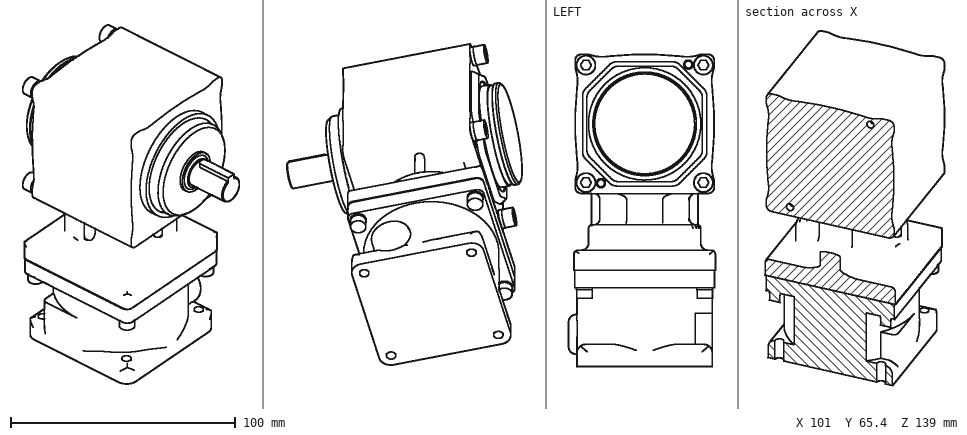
import cadquery as cq
import math


SHAFT_Z = 108.0
HOUSING_LEFT = -25.3
HOUSING_RIGHT = 32.8
HOUSING_HALF = 31.0
CORNER_START = 28.2
CORNER_PAD_EDGE = 25.2
HOLLOW_OUTER = 23.6
HOLLOW_INNER = 15.8
HOLLOW_OUTER_DROP = 0.4
HOLLOW_DROP = 1.1
HOLLOW_INNER_DROP = 0.8
HOUSING_BOTTOM = SHAFT_Z - HOUSING_HALF

BOSS_HALF = 27.7
BOSS_FLAT_HALF = 14.3
BOSS_HEIGHT = 2.9
BOSS_INSET = 2.0
BOSS_CORNER_RADIUS = 5.5

RECESS_RADIUS = 25.0
RECESS_DEPTH = 0.5
CAP_BAND_RADIUS = 23.0
CAP_BAND_END = -31.4
CAP_NECK_RADIUS = 22.4
CAP_LIP_START = -33.6
CAP_LIP_RADIUS = 23.1
CAP_END = -36.1
CAP_CHAMFER = 0.8

SCREW_OFFSET = 26.1
SCREW_DIAMETER = 8.3
SCREW_COLLAR_DIAMETER = 8.5
SCREW_COLLAR_HEIGHT = 1.5
SCREW_HEIGHT = 6.3
SOCKET_FLATS = 4.2
SOCKET_DEPTH = 2.2
DRILL_Y = 19.5
DRILL_Z = 26.4
DRILL_DIAMETER = 3.2
DRILL_RIM_DIAMETER = 4.0
DRILL_DEPTH = 4.2
DRILL_TIP = 1.0

FLANGE_RADIUS = 25.0
FLANGE_END = 36.4
SPIGOT_ROOT_RADIUS = 23.0
SPIGOT_RADIUS = 22.4
SPIGOT_CONE_END = 38.4
SPIGOT_END = 43.1
SPIGOT_ROUND_LENGTH = 2.0
SPIGOT_ROUND_DEPTH = 1.3
SEAL_DIAMETER = 19.0
SEAL_END = 44.3
SHOULDER_ROOT_RADIUS = 8.2
SHOULDER_RADIUS = 7.0
SHOULDER_END = 45.3
SHAFT_RADIUS = 6.0
SHAFT_END = 64.9
SHAFT_CHAMFER = 0.4
KEY_START = 47.0
KEY_WIDTH = 4.0
KEY_TOP = 7.6

NECK_RADIUS = 20.0
NECK_FILLET = 2.8
NECK_FLAT_X = -18.3
RIB_WIDTH = 4.2
RIB_REACH = 23.8

COLLAR_RADIUS = 25.0
COLLAR_TOP = 63.1
COLLAR_EDGE_RADIUS = 1.7
COLLAR_FILLET = 3.0
PLATE_TOP = 51.8
PLATE_EDGE_RADIUS = 2.1
UPPER_PLATE_HALF_Y = 31.5
PLATE_CORNER_RADIUS = 3.0

JOINT_Z = 42.8
PLATE_BOTTOM = 35.0
PLATE_HALF = 31.1
BARREL_RADIUS = 30.2
BASE_HEIGHT = 10.0
BASE_EDGE_RADIUS = 4.2
BASE_CORNER_RADIUS = 5.4
BASE_HOLE_OFFSET = 24.6
BASE_HOLE_DIAMETER = 4.2
ADAPTER_SCREW_OFFSET = 26.8
ADAPTER_SCREW_DIAMETER = 7.0
ADAPTER_SCREW_HEIGHT = 4.7
ADAPTER_COLLAR_DIAMETER = 7.1
ADAPTER_COLLAR_HEIGHT = 0.8
PAD_LEFT = -20.0
PAD_HEIGHT = 23.8
PAD_EDGE_RADIUS = 2.2
PLUG_X = 10.8
PLUG_Z = 14.3
PLUG_RADIUS = 8.9
PLUG_END_Y = 33.9
PLUG_EDGE_RADIUS = 3.5

CORNERS = [(1, 1), (-1, 1), (-1, -1), (1, -1)]


def turned_about_shaft(points):
    """Revolve (x, radius) points, closed along the axis, about the output shaft axis."""
    outline = [(points[0][0], 0), *points]
    if points[-1][1] > 0:
        outline.append((points[-1][0], 0))
    solid = cq.Workplane("XZ").polyline(outline).close().revolve(360, (0, 0, 0), (1, 0, 0))
    return solid.translate((0, 0, SHAFT_Z))


def rounded_plate(half_x, half_y, bottom, top, corner_radius, edge_radius=0):
    """Plate with round vertical corners; its round top edges meet in mitres."""
    size = (2 * half_x, 2 * half_y, top - bottom)
    plate = cq.Workplane("XY").box(*size, centered=(True, True, False))
    if edge_radius:
        plate = plate.faces(">Z").edges().fillet(edge_radius)
    corners = cq.Workplane("XY").box(*size, centered=(True, True, False)).edges("|Z").fillet(corner_radius)
    return plate.intersect(corners).translate((0, 0, bottom))


def housing_block():
    """Prism along X: the bottom side is flat, the others have a crowned middle between two flutes."""
    half = HOUSING_HALF
    hollow_middle = (HOLLOW_INNER + HOLLOW_OUTER) / 2
    corner_radius = half - CORNER_START
    corner_mid = CORNER_START + corner_radius * math.sqrt(0.5)
    hollow_outer_height = half - HOLLOW_OUTER_DROP
    hollow_height = half - HOLLOW_DROP
    hollow_inner_height = half - HOLLOW_INNER_DROP
    bottom_turn = 2

    outline = cq.Workplane("YZ").moveTo(-CORNER_START, half)
    for turn in range(4):
        def at(y, z):
            """The point of the top side, moved to the side that lies `turn` quarter turns clockwise."""
            return [(y, z), (z, -y), (-y, -z), (-z, y)][turn]

        if turn != bottom_turn:
            outline = (
                outline.lineTo(*at(-CORNER_PAD_EDGE, half))
                .lineTo(*at(-HOLLOW_OUTER, hollow_outer_height))
                .threePointArc(at(-hollow_middle, hollow_height), at(-HOLLOW_INNER, hollow_inner_height))
                .threePointArc(at(0, half), at(HOLLOW_INNER, hollow_inner_height))
                .threePointArc(at(hollow_middle, hollow_height), at(HOLLOW_OUTER, hollow_outer_height))
                .lineTo(*at(CORNER_PAD_EDGE, half))
            )
        outline = outline.lineTo(*at(CORNER_START, half))
        outline = outline.threePointArc(at(corner_mid, corner_mid), at(half, CORNER_START))
    block = outline.close().extrude(HOUSING_RIGHT - HOUSING_LEFT)
    return block.translate((HOUSING_LEFT, 0, SHAFT_Z))


def closed_end_plane():
    return cq.Plane(origin=(HOUSING_LEFT, 0, SHAFT_Z), xDir=(0, 1, 0), normal=(-1, 0, 0))


def octagonal_boss():
    octagon = []
    for sign_y, sign_z in CORNERS:
        pair = [(sign_y * BOSS_HALF, sign_z * BOSS_FLAT_HALF), (sign_y * BOSS_FLAT_HALF, sign_z * BOSS_HALF)]
        octagon += pair if sign_y * sign_z > 0 else pair[::-1]
    lean = math.degrees(math.atan2(BOSS_INSET, BOSS_HEIGHT))
    boss = cq.Workplane(closed_end_plane()).polyline(octagon).close().extrude(BOSS_HEIGHT, taper=lean)
    boss = boss.edges("not #X").fillet(BOSS_CORNER_RADIUS)
    return boss.faces("<X").workplane().circle(RECESS_RADIUS).cutBlind(-RECESS_DEPTH)


def end_cap():
    return turned_about_shaft([
        (HOUSING_LEFT, CAP_BAND_RADIUS),
        (CAP_BAND_END, CAP_BAND_RADIUS),
        (CAP_BAND_END, CAP_NECK_RADIUS),
        (CAP_LIP_START, CAP_NECK_RADIUS),
        (CAP_LIP_START, CAP_LIP_RADIUS),
        (CAP_END + CAP_CHAMFER, CAP_LIP_RADIUS),
        (CAP_END, CAP_LIP_RADIUS - CAP_CHAMFER),
    ])


def housing_screw(sign_y, sign_z):
    """Socket screw head on the closed end, standing on a slightly wider collar."""
    socket_corner_diameter = SOCKET_FLATS / math.cos(math.pi / 6)
    head = cq.Workplane(closed_end_plane()).circle(SCREW_DIAMETER / 2).extrude(SCREW_HEIGHT)
    head = head.faces("<X").workplane().polygon(6, socket_corner_diameter).cutBlind(-SOCKET_DEPTH)
    collar = cq.Workplane(closed_end_plane()).circle(SCREW_COLLAR_DIAMETER / 2).extrude(SCREW_COLLAR_HEIGHT)
    return head.union(collar).translate((0, sign_y * SCREW_OFFSET, sign_z * SCREW_OFFSET))


def drilled_hole(sign):
    """Cutter for a chamfered hole with a conical bottom; the two holes lie diagonally opposite."""
    rim = (DRILL_RIM_DIAMETER - DRILL_DIAMETER) / 2
    cutter = turned_about_shaft([
        (HOUSING_LEFT, DRILL_RIM_DIAMETER / 2),
        (HOUSING_LEFT + rim, DRILL_DIAMETER / 2),
        (HOUSING_LEFT + DRILL_DEPTH, DRILL_DIAMETER / 2),
        (HOUSING_LEFT + DRILL_DEPTH + DRILL_TIP, 0),
    ])
    return cutter.translate((0, -sign * DRILL_Y, sign * DRILL_Z))


def output_end():
    """Flange, spigot, seal ring and shaft."""
    return turned_about_shaft([
        (HOUSING_RIGHT, FLANGE_RADIUS),
        (FLANGE_END, FLANGE_RADIUS),
        (FLANGE_END, SPIGOT_ROOT_RADIUS),
        (SPIGOT_CONE_END, SPIGOT_RADIUS),
        (SPIGOT_END - SPIGOT_ROUND_LENGTH, SPIGOT_RADIUS),
        (SPIGOT_END, SPIGOT_RADIUS - SPIGOT_ROUND_DEPTH),
        (SPIGOT_END, SEAL_DIAMETER / 2),
        (SEAL_END, SEAL_DIAMETER / 2),
        (SEAL_END, SHOULDER_ROOT_RADIUS),
        (SHOULDER_END, SHOULDER_RADIUS),
        (SHOULDER_END, SHAFT_RADIUS),
        (SHAFT_END - SHAFT_CHAMFER, SHAFT_RADIUS),
        (SHAFT_END, SHAFT_RADIUS - SHAFT_CHAMFER),
    ])


def shaft_key():
    """Key on top of the shaft, round at its inner end."""
    half = KEY_WIDTH / 2
    return (
        cq.Workplane("XY", origin=(0, 0, SHAFT_Z))
        .moveTo(SHAFT_END, -half)
        .lineTo(KEY_START + half, -half)
        .threePointArc((KEY_START, 0), (KEY_START + half, half))
        .lineTo(SHAFT_END, half)
        .close()
        .extrude(KEY_TOP)
    )


def neck():
    """Round neck flared at both ends, with a flat on -X and ribs on the other three sides."""
    arc_reach = NECK_FILLET * (1 - math.sqrt(0.5))
    flare_radius = NECK_RADIUS + NECK_FILLET
    column = (
        cq.Workplane("XZ")
        .moveTo(0, COLLAR_TOP)
        .lineTo(flare_radius, COLLAR_TOP)
        .threePointArc(
            (NECK_RADIUS + arc_reach, COLLAR_TOP + arc_reach), (NECK_RADIUS, COLLAR_TOP + NECK_FILLET)
        )
        .lineTo(NECK_RADIUS, HOUSING_BOTTOM - NECK_FILLET)
        .threePointArc(
            (NECK_RADIUS + arc_reach, HOUSING_BOTTOM - arc_reach), (flare_radius, HOUSING_BOTTOM)
        )
        .lineTo(0, HOUSING_BOTTOM)
        .close()
        .revolve(360, (0, 0, 0), (0, 1, 0))
    )
    height = HOUSING_BOTTOM - COLLAR_TOP
    flat_depth = flare_radius + NECK_FLAT_X
    flat_cutter = (
        cq.Workplane("XY")
        .box(2 * flat_depth, 2 * flare_radius, height, centered=(True, True, False))
        .edges(">X and <Z")
        .fillet(NECK_FILLET)
        .translate((NECK_FLAT_X - flat_depth, 0, COLLAR_TOP))
    )
    column = column.cut(flat_cutter)
    rib_start = RIB_REACH - RIB_WIDTH / 2
    rib = (
        cq.Workplane("XY", origin=(rib_start / 2, 0, COLLAR_TOP))
        .rect(rib_start, RIB_WIDTH)
        .extrude(height)
        .union(cq.Workplane("XY", origin=(rib_start, 0, COLLAR_TOP)).circle(RIB_WIDTH / 2).extrude(height))
    )
    for angle in (-90, 0, 90):
        column = column.union(rib.rotate((0, 0, 0), (0, 0, 1), angle))
    return column


def collar():
    """Round collar with a round top edge, flowing into the plate below in a fillet."""
    edge_reach = COLLAR_EDGE_RADIUS * (1 - math.sqrt(0.5))
    fillet_reach = COLLAR_FILLET * (1 - math.sqrt(0.5))
    fillet_mid = (COLLAR_RADIUS + fillet_reach, PLATE_TOP + fillet_reach)
    edge_mid = (COLLAR_RADIUS - edge_reach, COLLAR_TOP - edge_reach)
    return (
        cq.Workplane("XZ")
        .moveTo(0, PLATE_TOP)
        .lineTo(COLLAR_RADIUS + COLLAR_FILLET, PLATE_TOP)
        .threePointArc(fillet_mid, (COLLAR_RADIUS, PLATE_TOP + COLLAR_FILLET))
        .lineTo(COLLAR_RADIUS, COLLAR_TOP - COLLAR_EDGE_RADIUS)
        .threePointArc(edge_mid, (COLLAR_RADIUS - COLLAR_EDGE_RADIUS, COLLAR_TOP))
        .lineTo(0, COLLAR_TOP)
        .close()
        .revolve(360, (0, 0, 0), (0, 1, 0))
    )


def gear_housing():
    body = rounded_plate(
        PLATE_HALF, UPPER_PLATE_HALF_Y, JOINT_Z, PLATE_TOP, PLATE_CORNER_RADIUS, PLATE_EDGE_RADIUS
    )
    lower_features = [collar(), neck()]
    upper_features = [housing_block(), octagonal_boss(), end_cap(), output_end(), shaft_key()]
    for feature in lower_features + upper_features:
        body = body.union(feature)
    for sign in (1, -1):
        body = body.cut(drilled_hole(sign))
    for sign_y, sign_z in CORNERS:
        body = body.union(housing_screw(sign_y, sign_z))
    return body


def base():
    """Square base with a screw hole in each corner, standing clear of the barrel."""
    plate = rounded_plate(BARREL_RADIUS, BARREL_RADIUS, 0, BASE_HEIGHT, BASE_CORNER_RADIUS, BASE_EDGE_RADIUS)
    holes = [(sign_x * BASE_HOLE_OFFSET, sign_y * BASE_HOLE_OFFSET) for sign_x, sign_y in CORNERS]
    return plate.cut(cq.Workplane("XY").pushPoints(holes).circle(BASE_HOLE_DIAMETER / 2).extrude(BASE_HEIGHT))


def barrel():
    return cq.Workplane("XY").circle(BARREL_RADIUS).extrude(PLATE_BOTTOM)


def access_pad():
    """Flat pad on the -Y side, flush with the base and ending at the barrel's outermost line."""
    return (
        cq.Workplane("XY")
        .box(-PAD_LEFT, BARREL_RADIUS, PAD_HEIGHT, centered=False)
        .edges("|Z and <X and <Y")
        .fillet(PAD_EDGE_RADIUS)
        .translate((PAD_LEFT, -BARREL_RADIUS, 0))
    )


def side_plug():
    """Round plug on the +Y side with a well rounded rim."""
    return (
        cq.Workplane("XZ", origin=(PLUG_X, 0, PLUG_Z))
        .circle(PLUG_RADIUS)
        .extrude(-PLUG_END_Y)
        .faces(">Y")
        .edges()
        .fillet(PLUG_EDGE_RADIUS)
    )


def adapter_screws():
    """Screw heads under the corners of the adapter's plate, each with a slightly wider collar."""
    places = [(sign_x * ADAPTER_SCREW_OFFSET, sign_y * ADAPTER_SCREW_OFFSET) for sign_x, sign_y in CORNERS]
    plate_underside = cq.Workplane("XY", origin=(0, 0, PLATE_BOTTOM)).pushPoints(places)
    heads = plate_underside.circle(ADAPTER_SCREW_DIAMETER / 2).extrude(-ADAPTER_SCREW_HEIGHT)
    return heads.union(plate_underside.circle(ADAPTER_COLLAR_DIAMETER / 2).extrude(-ADAPTER_COLLAR_HEIGHT))


def motor_adapter():
    body = rounded_plate(PLATE_HALF, PLATE_HALF, PLATE_BOTTOM, JOINT_Z, PLATE_CORNER_RADIUS)
    for feature in (barrel(), base(), access_pad(), side_plug(), adapter_screws()):
        body = body.union(feature)
    return body


result = cq.Compound.makeCompound([gear_housing().val(), motor_adapter().val()])